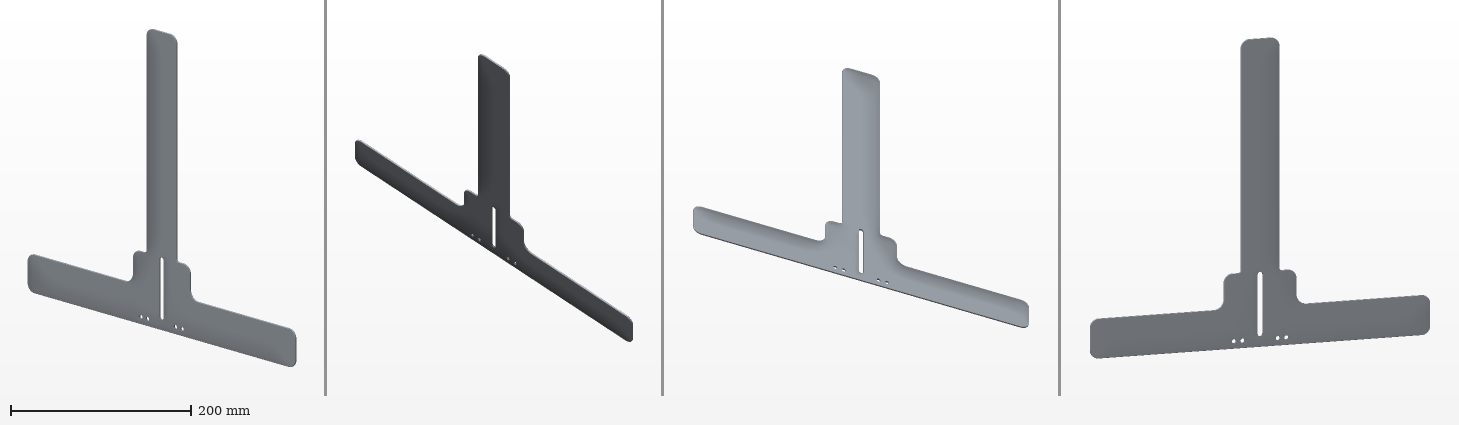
import cadquery as cq

span = 400.0
height = 350.0
thickness = 2.0
arm_width = 45.0

hub_width = 85.0
hub_height = 85.0

tip_radius = 10.0
hub_corner_radius = 10.0
hub_foot_radius = 12.0
upright_foot_radius = 3.0

edge_chamfer = 0.3

slot_width = 6.0
slot_bottom = 12.0
slot_top = 85.0

hole_diameter = 5.0
hole_height = 8.5
hole_offsets = (21.0, 31.0)


def bar(width, bar_height):
    """Rectangular plate centred on X, standing on Z = 0."""
    return cq.Workplane("XY").box(width, thickness, bar_height, centered=(True, True, False))


def round_corners(plate, half_width, level, radius):
    """Round the mirrored pair of outline corners at the given height."""
    for x in (-half_width, half_width):
        corner = cq.selectors.NearestToPointSelector((x, 0, level))
        plate = plate.edges("|Y").edges(corner).fillet(radius)
    return plate


def cut_slot(plate):
    length = slot_top - slot_bottom
    cutter = (
        cq.Workplane("XZ")
        .center(0, (slot_top + slot_bottom) / 2)
        .slot2D(length, slot_width, 90)
        .extrude(thickness, both=True)
    )
    return plate.cut(cutter)


def cut_holes(plate):
    centres = [(side * offset, hole_height) for side in (-1, 1) for offset in hole_offsets]
    cutter = (
        cq.Workplane("XZ")
        .pushPoints(centres)
        .circle(hole_diameter / 2)
        .extrude(thickness, both=True)
    )
    return plate.cut(cutter)


crossbar = bar(span, arm_width)
hub = bar(hub_width, hub_height)
upright = bar(arm_width, height)
plate = crossbar.union(hub).union(upright).clean()

plate = round_corners(plate, span / 2, 0, tip_radius)
plate = round_corners(plate, span / 2, arm_width, tip_radius)
plate = round_corners(plate, arm_width / 2, height, tip_radius)
plate = round_corners(plate, hub_width / 2, hub_height, hub_corner_radius)
plate = round_corners(plate, hub_width / 2, arm_width, hub_foot_radius)
plate = round_corners(plate, arm_width / 2, hub_height, upright_foot_radius)
plate = plate.faces("<Y or >Y").chamfer(edge_chamfer)

result = cut_holes(cut_slot(plate))